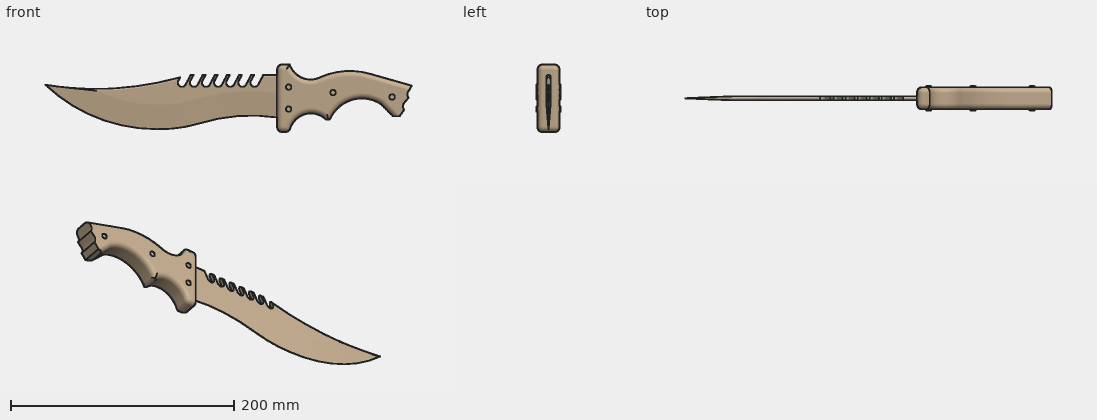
import cadquery as cq
import math


total_thickness = 22.0
pin_protrusion = 1.0
handle_thickness = total_thickness - 2 * pin_protrusion
guard_top = 30.3
guard_bottom = -30.5

blade_thickness = 4.0
edge_thickness = 0.3
bevel_width = 22.0
bevel_depth = (blade_thickness - edge_thickness) / 2
spine_height = 20.7

spine_start = (-217.0, 13.8)
spine_middle = (-171.0, 8.5)
spine_step = (-83.5, 19.7)
edge_start = (-230.3, 39.5)
edge_middle = (-164.5, -16.5)
belly_end = (-108.2, -28.0)
belly_middle = (-88.8, -27.0)
curve_change = (-70.5, -23.0)
edge_rise = (-26.3, -15.8)
edge_end = (0.0, -17.5)
blank_height = 52.5
spine_profile_depth = 59.2

slot_count = 7
slot_pitch = 11.0
slot_radius = 3.5
slot_angle = 62.0
slot_length = 33.0
first_slot_x = -85.2
slot_floor_z = 10.2

edge_radius = 5.0
back_radius = 6.0
back_above_z = 10.0
tolerance = 0.03
guard_top_end = (11.5, guard_top)
neck_middle = (23.0, 18.0)
neck_end = (39.5, 19.0)
hump_middle = (61.5, 24.5)
hump_end = (83.0, 22.0)
butt_top = (121.0, 11.2)
butt_bottom = (110.0, -16.5)
heel = (104.3, -16.5)
palm_end = (93.5, -5.5)
palm_middle = (72.5, -0.5)
finger_point = (46.5, -22.0)
finger_middle = (30.3, -13.8)
guard_heel = (11.2, guard_bottom)
finger_point_radius = 3.0

butt_notches = [
    ((118.0, 6.3), (117.0, 3.0), (118.0, 0.3)),
    ((114.0, -4.3), (113.2, -8.0), (114.0, -10.5)),
]

pin_diameter = 5.0
pin_edge_radius = 0.95
pin_places = [(10.5, 10.0), (10.5, -10.0), (50.5, 5.0), (103.3, 1.0)]


def centred_plate(outline, thickness):
    """Extrude an XZ outline equally to both sides of Y = 0."""
    return outline.extrude(thickness / 2, both=True)


def bevelled_blank():
    """Plate with the curved cutting edge, ground by a bevel on both faces."""
    outline = (
        cq.Workplane("XZ")
        .moveTo(*edge_start)
        .threePointArc(edge_middle, belly_end)
        .threePointArc(belly_middle, curve_change)
        .threePointArc(edge_rise, edge_end)
        .lineTo(edge_end[0], blank_height)
        .lineTo(edge_start[0], blank_height)
        .close()
    )
    blank = centred_plate(outline, blade_thickness).val()
    for side in (">Y", "<Y"):
        side_face = cq.Workplane(obj=blank).faces(side)
        blank = blank.chamfer(bevel_depth, bevel_width, side_face.edges("%CIRCLE").vals())
    return cq.Workplane(obj=blank)


def round_topped_profile(plane):
    """Blade cross-section below the spine: straight sides under a half-round top."""
    half = blade_thickness / 2
    return (
        plane.moveTo(-half, -spine_profile_depth)
        .lineTo(half, -spine_profile_depth)
        .lineTo(half, -half)
        .threePointArc((0, 0), (-half, -half))
        .close()
    )


def spine_body():
    """Everything below the spine: a curved stretch to the tip and a level one at the guard."""
    start_plane = cq.Workplane("YZ", origin=(spine_start[0], 0, spine_start[1]))
    curve = cq.Workplane("XZ").moveTo(*spine_start).threePointArc(spine_middle, spine_step)
    curved = round_topped_profile(start_plane).sweep(curve)
    level_plane = cq.Workplane("YZ", origin=(spine_step[0], 0, spine_height))
    level = round_topped_profile(level_plane).extrude(-spine_step[0])
    return curved.union(level)


def saw_slots():
    """Slanted round-bottomed slots that leave hooked saw teeth between them."""
    slots = cq.Workplane("XZ")
    slant = math.radians(slot_angle)
    reach = slot_length / 2 - slot_radius
    for index in range(slot_count):
        x = first_slot_x + index * slot_pitch + reach * math.cos(slant)
        z = slot_floor_z + slot_radius + reach * math.sin(slant)
        slots = slots.union(
            cq.Workplane("XZ", origin=(x, 0, z))
            .slot2D(slot_length, 2 * slot_radius, slot_angle)
            .extrude(blade_thickness, both=True)
        )
    return slots


def make_blade():
    return bevelled_blank().intersect(spine_body()).cut(saw_slots())


def handle_plate():
    """Handle outline with the notched butt, at full thickness and with sharp edges."""
    outline = (
        cq.Workplane("XZ")
        .moveTo(0, guard_bottom)
        .lineTo(0, guard_top)
        .lineTo(*guard_top_end)
        .threePointArc(neck_middle, neck_end)
        .threePointArc(hump_middle, hump_end)
        .lineTo(*butt_top)
    )
    for slope_end, hollow_middle, notch_point in butt_notches:
        outline = outline.lineTo(*slope_end).threePointArc(hollow_middle, notch_point)
    outline = (
        outline.lineTo(*butt_bottom)
        .lineTo(*heel)
        .lineTo(*palm_end)
        .threePointArc(palm_middle, finger_point)
        .threePointArc(finger_middle, guard_heel)
        .close()
    )
    return centred_plate(outline, handle_thickness)


def outline_corner(solid, place):
    """Edges along Y that pass through an XZ place."""
    return [
        edge
        for edge in cq.Workplane(obj=solid).edges("|Y").vals()
        if math.hypot(edge.Center().x - place[0], edge.Center().z - place[1]) < tolerance
    ]


def outline_rim(solid):
    """Edges around both side faces, without the notched butt."""
    side_faces = cq.Workplane(obj=solid).faces("<Y or >Y")
    return [edge for edge in side_faces.edges().vals() if edge.Center().x < heel[0]]


def make_handle():
    plate = handle_plate().val()

    ball_corners = [
        edge
        for place in ((0, guard_top), (0, guard_bottom), guard_heel)
        for edge in outline_corner(plate, place)
    ]
    rounded = plate.fillet(edge_radius, outline_rim(plate) + ball_corners)

    back_rim = [edge for edge in outline_rim(plate) if edge.Center().z > back_above_z]
    round_backed = plate.fillet(back_radius, back_rim)

    blunt_pointed = plate.fillet(finger_point_radius, outline_corner(plate, finger_point))

    handle = cq.Workplane(obj=rounded)
    return handle.intersect(cq.Workplane(obj=round_backed)).intersect(cq.Workplane(obj=blunt_pointed))


def pin_row():
    """Through pins with rounded ends that stand proud of both handle sides."""
    pins = []
    for x, z in pin_places:
        pin = (
            cq.Workplane("XZ", origin=(x, 0, z))
            .circle(pin_diameter / 2)
            .extrude(total_thickness / 2, both=True)
            .faces("<Y or >Y")
            .edges()
            .fillet(pin_edge_radius)
        )
        pins.append(pin)
    return pins


blade = make_blade()
handle = make_handle()
pins = pin_row()
for pin in pins:
    handle = handle.cut(pin)

result = cq.Compound.makeCompound([blade.val(), handle.val(), *[pin.val() for pin in pins]])